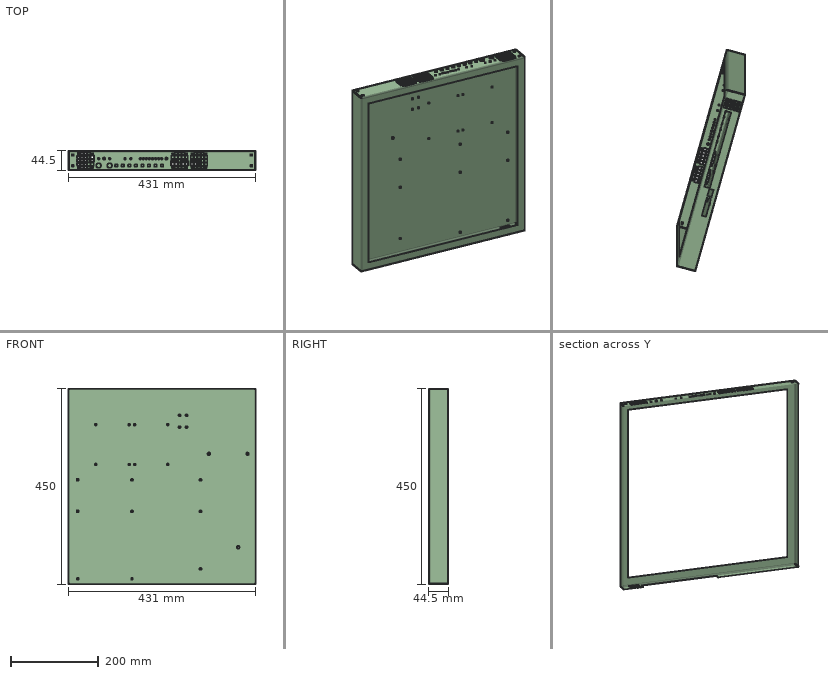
import cadquery as cq

WIDTH = 431.0
DEPTH = 44.45
HEIGHT = 450.0

SHEET = 1.0
BEND_RADIUS = 2.2
LIP_WIDTH = 20.0
CORNER_SETBACK = 1.6

BOARD_HOLE = 4.0
BOARD_LEFT = -193.5
BOARD_TOP = 15.1
BOARD_COLUMNS = (0.0, 124.46, 281.94)
BOARD_ROWS = (0.0, 72.39)
BOARD_LOW_ROW = 227.33
BOARD_LOW_ROW_RIGHT = 204.47

DRIVE_HOLE = 3.5
DRIVE_CENTRES_X = (-114.0, -24.8)
DRIVE_CENTRE_Z = 96.3
DRIVE_PITCH = (76.6, 91.7)

MODULE_HOLE = 4.0
MODULE_CENTRE = (48.4, 149.8)
MODULE_PITCH = (16.0, 27.0)

SUPPLY_HOLE = 5.4
SUPPLY_POINTS = ((107.7, 74.9), (196.9, 74.9), (175.0, -139.7))

UPPER_ROW_Y = 4.1
LOWER_ROW_Y = -11.8
JACK_HOLE = 6.5
JACK_COUNT = 8
JACK_PITCH = 15.0
JACK_LAST_X = 0.0
SOCKET_HOLE = 11.0
SOCKET_X = (-145.6, -120.3)
LAMP_HOLE = 3.0
LAMP_COUNT = 8
LAMP_PITCH = 7.0
LAMP_LAST_X = -0.8
SIDE_LAMP_X = (-85.0, -71.5)
BUTTON_HOLE = 4.4
BUTTON_X = (-133.0, 10.1)

FIXING_X = 205.3
FIXING_Y = 12.2
FIXING_SLOT = (5.2, 3.2)
FIXING_HOLE = 4.6

FAN_X = (-175.9, 40.4, 85.0)
FAN_Y = -0.5
FAN_REACH = 2
FAN_PITCH = 8.0
FAN_OPENING = 6.6
FAN_OUTER_ROW_HEIGHT = 4.6
FAN_SCREW = 3.0

DISPLAY_X = (-166.0, 18.0)
DISPLAY_Y = (-2.2, 11.0)
CARD_SLOTS_X = ((20.0, 37.0), (42.0, 85.0))
CARD_SLOT_Y = (-11.5, -1.5)
VENT_COLUMNS = 3

WALL_CUT = 4 * SHEET


def rounded_block(width, height, bend_axis):
    return cq.Workplane("XY").box(width, DEPTH, height).edges("|" + bend_axis).fillet(BEND_RADIUS)


def folded_strip(width, height, bend_axis):
    """C-shaped strip: base on -Y, two walls, and lips on +Y with an open gap between them."""
    along_x = bend_axis == "X"
    inner_width = width if along_x else width - 2 * SHEET
    inner_height = height - 2 * SHEET if along_x else height
    gap_width = width if along_x else width - 2 * LIP_WIDTH
    gap_height = height - 2 * LIP_WIDTH if along_x else height
    outer = rounded_block(width, height, bend_axis)
    inner = cq.Workplane("XY").box(inner_width, DEPTH - 2 * SHEET, inner_height)
    inner = inner.edges("|" + bend_axis).fillet(BEND_RADIUS - SHEET)
    gap = cq.Workplane("XY").box(gap_width, DEPTH, gap_height).translate((0, DEPTH / 2, 0))
    return outer.cut(inner).cut(gap)


def make_shell():
    """Base plate with four walls: two crossing strips, each rounded off by the other's bends."""
    end_walls = folded_strip(WIDTH - 2 * CORNER_SETBACK, HEIGHT, "X")
    side_walls = folded_strip(WIDTH, HEIGHT - 2 * CORNER_SETBACK, "Z")
    end_walls = end_walls.intersect(rounded_block(WIDTH, HEIGHT, "Z"))
    side_walls = side_walls.intersect(rounded_block(WIDTH, HEIGHT, "X"))
    return end_walls.union(side_walls)


def base_holes(points, diameter):
    plane = cq.Workplane("XZ", origin=(0, -DEPTH / 2 + WALL_CUT / 2, 0))
    return plane.pushPoints(points).circle(diameter / 2).extrude(WALL_CUT)


def end_wall_plane(side):
    """Start plane for cutters through the +Z (side = 1) or -Z (side = -1) wall."""
    return cq.Workplane("XY", origin=(0, 0, side * HEIGHT / 2 - WALL_CUT / 2))


def connector_holes(points, diameter):
    return end_wall_plane(1).pushPoints(points).circle(diameter / 2).extrude(WALL_CUT)


def end_wall_openings(side, points, size):
    return end_wall_plane(side).pushPoints(points).rect(*size).extrude(WALL_CUT)


def window(x_range, y_range):
    """Rectangular cutter through the -Z wall."""
    centre = (sum(x_range) / 2, sum(y_range) / 2)
    size = (x_range[1] - x_range[0], y_range[1] - y_range[0])
    return end_wall_openings(-1, [centre], size)


def rectangle_corners(centre, pitch):
    return [
        (centre[0] + side_x * pitch[0] / 2, centre[1] + side_z * pitch[1] / 2)
        for side_x in (-1, 1)
        for side_z in (-1, 1)
    ]


def board_points():
    points = [(BOARD_LEFT + dx, BOARD_TOP - dz) for dx in BOARD_COLUMNS for dz in BOARD_ROWS]
    points += [(BOARD_LEFT + dx, BOARD_TOP - BOARD_LOW_ROW) for dx in BOARD_COLUMNS[:2]]
    points.append((BOARD_LEFT + BOARD_COLUMNS[2], BOARD_TOP - BOARD_LOW_ROW_RIGHT))
    return points


def cut_base(body):
    body = body.cut(base_holes(board_points(), BOARD_HOLE))
    for centre_x in DRIVE_CENTRES_X:
        corners = rectangle_corners((centre_x, DRIVE_CENTRE_Z), DRIVE_PITCH)
        body = body.cut(base_holes(corners, DRIVE_HOLE))
    body = body.cut(base_holes(rectangle_corners(MODULE_CENTRE, MODULE_PITCH), MODULE_HOLE))
    return body.cut(base_holes(SUPPLY_POINTS, SUPPLY_HOLE))


def cut_connectors(body):
    jacks = [(JACK_LAST_X - i * JACK_PITCH, LOWER_ROW_Y) for i in range(JACK_COUNT)]
    sockets = [(x, LOWER_ROW_Y) for x in SOCKET_X]
    lamps = [(LAMP_LAST_X - i * LAMP_PITCH, UPPER_ROW_Y) for i in range(LAMP_COUNT)]
    lamps += [(x, UPPER_ROW_Y) for x in SIDE_LAMP_X + SOCKET_X]
    buttons = [(x, UPPER_ROW_Y) for x in BUTTON_X]
    body = body.cut(connector_holes(jacks, JACK_HOLE))
    body = body.cut(connector_holes(sockets, SOCKET_HOLE))
    body = body.cut(connector_holes(lamps, LAMP_HOLE))
    return body.cut(connector_holes(buttons, BUTTON_HOLE))


def cut_fixings(body):
    slots = [(-FIXING_X, FIXING_Y), (FIXING_X, FIXING_Y)]
    holes = [(-FIXING_X, -FIXING_Y), (FIXING_X, -FIXING_Y)]
    body = body.cut(end_wall_openings(1, slots, FIXING_SLOT))
    return body.cut(connector_holes(holes, FIXING_HOLE))


def grille_points(centre_x, columns, rows):
    return [(centre_x + c * FAN_PITCH, FAN_Y + r * FAN_PITCH) for c in columns for r in rows]


def cut_grille(body, centre_x):
    outer = (-FAN_REACH, FAN_REACH)
    middle = range(1 - FAN_REACH, FAN_REACH)
    every = range(-FAN_REACH, FAN_REACH + 1)
    squares = grille_points(centre_x, every, middle)
    short_openings = grille_points(centre_x, middle, outer)
    screws = grille_points(centre_x, outer, outer)
    body = body.cut(end_wall_openings(1, squares, (FAN_OPENING, FAN_OPENING)))
    body = body.cut(end_wall_openings(1, short_openings, (FAN_OPENING, FAN_OUTER_ROW_HEIGHT)))
    return body.cut(connector_holes(screws, FAN_SCREW))


def cut_opposite_wall(body):
    body = body.cut(window(DISPLAY_X, DISPLAY_Y))
    for slot_x in CARD_SLOTS_X:
        body = body.cut(window(slot_x, CARD_SLOT_Y))
    columns = range(-FAN_REACH, VENT_COLUMNS - FAN_REACH)
    rows = range(-FAN_REACH, FAN_REACH + 1)
    vent = grille_points(FAN_X[0], columns, rows)
    return body.cut(end_wall_openings(-1, vent, (FAN_OPENING, FAN_OUTER_ROW_HEIGHT)))


result = make_shell()
result = cut_base(result)
result = cut_connectors(result)
result = cut_fixings(result)
for fan_x in FAN_X:
    result = cut_grille(result, fan_x)
result = cut_opposite_wall(result)